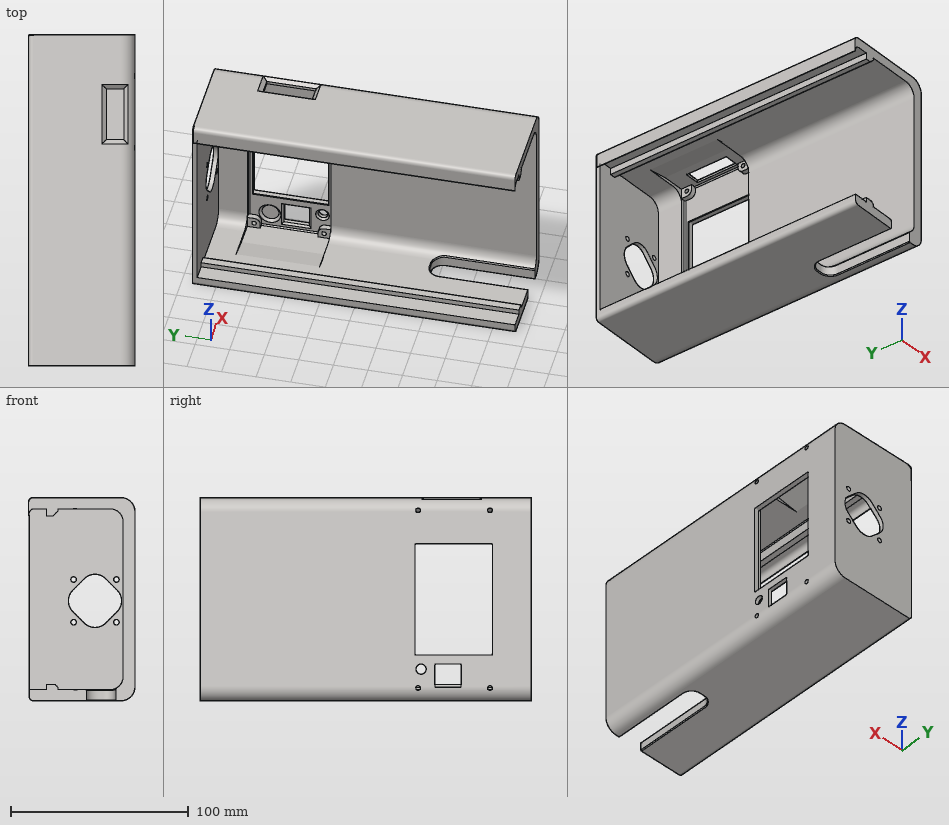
import cadquery as cq
WIDTH = 60.0
LENGTH = 186.6
HEIGHT = 114.5

BACK_WALL = 6.7
FLANGE = 6.3
OUTER_RADIUS = 8.0
INNER_RADIUS = 7.5
EDGE_RADIUS = 2.6
CAP_THICKNESS = 2.8

LIP_OVERHANG = 0.4
LIP_DROP = 10.0
LIP_RADIUS = 3.0
LIP_END_GAP = 0.5

RAIL_START = 10.0
RAIL_WIDTH = 6.5
RAIL_STEP = 1.3
TOP_RAIL_CHAMFER = 2.8
BOTTOM_RAIL_CHAMFER = 1.7

CONNECTOR_X = 37.5
CONNECTOR_Z = 56.4
CONNECTOR_SIDE = 26.1
CONNECTOR_CORNER_RADIUS = 8.5
CONNECTOR_HOLE_SPACING = 24.0
CONNECTOR_HOLE_DIAMETER = 3.0

PANEL_Y_MIN = 118.9
PANEL_Y_MAX = 167.2
PANEL_SKIN = 3.5
FLANGE_SKIN = 4.3
RAMP_START = 25.2
RAMP_END = 38.8
PANEL_CHAMFER = 0.7

BOSS_INSET = 4.0
BOSS_RADIUS = 3.5
BOSS_Z = 7.3
BOSS_HEIGHT = 3.4
BOSS_HOLE_DIAMETER = 2.6

WINDOW_Y_MIN = 121.1
WINDOW_Y_MAX = 164.6
WINDOW_Z_MIN = 26.0
WINDOW_Z_MAX = 88.5
WINDOW_CHAMFER = 0.4
PORT_Y_MIN = 132.3
PORT_Y_MAX = 147.0
PORT_Z_MIN = 7.8
PORT_Z_MAX = 20.7
PORT_CHAMFER = 1.1
OPENING_CORNER_RADIUS = 0.5
JACK_Y = 124.5
JACK_Z = 18.0
JACK_RADIUS = 2.8
JACK_CHAMFER = 1.1
DIMPLE_Y = 154.9
DIMPLE_Z = 13.3
DIMPLE_RADIUS = 6.3
DIMPLE_DEPTH = 1.5

SLOT_X_MIN = 43.9
SLOT_X_MAX = 53.7
SLOT_Y_MIN = 127.5
SLOT_Y_MAX = 156.0
SLOT_CHAMFER = 2.5

NOTCH_X = 41.0
NOTCH_WIDTH = 16.5
NOTCH_LENGTH = 58.2
NOTCH_RADIUS = 6.7
NOTCH_CHAMFER = 0.5

INNER_X = WIDTH - BACK_WALL
PANEL_X = WIDTH - PANEL_SKIN
OVERCUT = 1.9


def box(x_min, x_max, y_min, y_max, z_min, z_max):
    size = (x_max - x_min, y_max - y_min, z_max - z_min)
    return cq.Workplane("XY").box(*size, centered=False).translate((x_min, y_min, z_min))


def prism_y(points, y_min, y_max):
    """Closed XZ polygon swept along Y."""
    plane = cq.Plane((0, y_min, 0), (1, 0, 0), (0, -1, 0))
    return cq.Workplane(plane).polyline(points).close().extrude(y_min - y_max)


def panel_plane(y, z):
    """Plane on the panel face, its normal pointing out through the back wall."""
    return cq.Workplane(cq.Plane((PANEL_X, y, z), (0, 1, 0), (1, 0, 0)))


def panel_cone(y, z, radius, depth):
    """45 degree cone frustum sinking from the panel face into the wall."""
    return panel_plane(y, z).circle(radius).extrude(depth, taper=45)


def flip(body):
    """Mirror a body from the bottom flange to the top flange."""
    return body.mirror("XY", (0, 0, HEIGHT / 2))


def make_block(x_min, y_max):
    """Solid outer form of the channel with rounded long edges."""
    block = box(x_min, WIDTH, 0, y_max, 0, HEIGHT)
    block = block.edges("|Y and >X").fillet(OUTER_RADIUS)
    return block.faces("<X").edges("|Y").fillet(EDGE_RADIUS)


def make_shell():
    inside = LENGTH - CAP_THICKNESS
    lip_bottom = HEIGHT - LIP_DROP
    lip_zone = box(0, WIDTH, 0, LENGTH, lip_bottom, HEIGHT)
    lip = make_block(0, LENGTH - LIP_END_GAP).intersect(lip_zone)
    block = make_block(LIP_OVERHANG, LENGTH).union(lip)

    cavity = box(LIP_OVERHANG, INNER_X, -OVERCUT, inside, FLANGE, HEIGHT - FLANGE)
    cavity = cavity.edges("|Y and >X").fillet(INNER_RADIUS)
    cavity = cavity.edges("|Y and <X and >Z").fillet(LIP_RADIUS)
    return block.cut(cavity)


def make_rail(chamfer):
    """Rail standing on the bottom flange, chamfered on its +X side."""
    end = RAIL_START + RAIL_WIDTH
    root = FLANGE / 2
    top = FLANGE + RAIL_STEP + chamfer
    points = [
        (RAIL_START, root),
        (RAIL_START, top),
        (end - chamfer, top),
        (end, FLANGE + RAIL_STEP),
        (end, root),
    ]
    return prism_y(points, 0, LENGTH - CAP_THICKNESS / 2)


def make_connector_cutout():
    depth = CAP_THICKNESS + OVERCUT
    face = cq.Workplane(cq.Plane((CONNECTOR_X, LENGTH, CONNECTOR_Z), (1, 0, 0), (0, -1, 0)))
    opening = face.transformed(rotate=(0, 0, 45)).rect(CONNECTOR_SIDE, CONNECTOR_SIDE).extrude(depth)
    opening = opening.edges("|Y").fillet(CONNECTOR_CORNER_RADIUS)
    corners = face.rect(CONNECTOR_HOLE_SPACING, CONNECTOR_HOLE_SPACING, forConstruction=True).vertices()
    return opening.union(corners.circle(CONNECTOR_HOLE_DIAMETER / 2).extrude(depth))


def make_recess():
    slope = (FLANGE - FLANGE_SKIN) / (RAMP_END - RAMP_START)
    mouth_x = RAIL_START + RAIL_WIDTH
    mouth_z = FLANGE + slope * (RAMP_START - mouth_x)
    lower = [(mouth_x, mouth_z), (RAMP_END, FLANGE_SKIN), (PANEL_X, FLANGE_SKIN)]
    upper = [(x, HEIGHT - z) for x, z in reversed(lower)]
    recess = prism_y(lower + upper, PANEL_Y_MIN, PANEL_Y_MAX)
    return recess.faces(">X").edges().chamfer(PANEL_CHAMFER)


def make_boss(y_wall, direction):
    """Block in a lower recess corner with one rounded corner; direction points away from the wall."""
    root = 0.5
    y_far = y_wall + direction * (BOSS_INSET + BOSS_RADIUS)
    y_root = y_wall - direction * root
    x_face = PANEL_X - BOSS_HEIGHT
    boss = box(
        x_face, PANEL_X + root,
        min(y_far, y_root), max(y_far, y_root),
        FLANGE_SKIN - root, BOSS_Z + BOSS_RADIUS,
    )
    rounded_side = ">Y" if direction > 0 else "<Y"
    return boss.faces(rounded_side).edges(">Z").fillet(BOSS_RADIUS)


def make_boss_hole(y):
    return panel_plane(y, BOSS_Z).circle(BOSS_HOLE_DIAMETER / 2).extrude(2 * PANEL_SKIN, both=True)


def make_opening(y_min, y_max, z_min, z_max, chamfer):
    """Rectangular through opening with rounded corners and a chamfered inner rim."""
    width = y_max - y_min
    height = z_max - z_min
    face = panel_plane((y_min + y_max) / 2, (z_min + z_max) / 2)
    opening = face.rect(width, height).extrude(PANEL_SKIN + OVERCUT)
    opening = opening.edges("|X").fillet(OPENING_CORNER_RADIUS)
    rim = face.rect(width + 2 * chamfer, height + 2 * chamfer).extrude(chamfer, taper=45)
    return opening.union(rim)


def edges_in_box(x_min, x_max, y_min, y_max, z_min, z_max):
    """Selector for the edges whose centers lie in a box, widened a little on every side."""
    margin = 0.2
    low = (x_min - margin, y_min - margin, z_min - margin)
    high = (x_max + margin, y_max + margin, z_max + margin)
    return cq.selectors.BoxSelector(low, high)


def cut_top_slot(body):
    outline = (SLOT_X_MIN, SLOT_X_MAX, SLOT_Y_MIN, SLOT_Y_MAX)
    body = body.cut(box(*outline, HEIGHT / 2, HEIGHT + OVERCUT))
    return body.edges(edges_in_box(*outline, HEIGHT, HEIGHT)).chamfer(SLOT_CHAMFER)


def cut_notch(body):
    outline = (NOTCH_X - NOTCH_WIDTH / 2, NOTCH_X + NOTCH_WIDTH / 2, 0, NOTCH_LENGTH)
    z_top = FLANGE + INNER_RADIUS
    notch = box(*outline, 0, z_top).edges("|Z and >Y").fillet(NOTCH_RADIUS)
    body = body.cut(notch)
    return body.edges(edges_in_box(*outline, 0, z_top)).edges("not |Z").chamfer(NOTCH_CHAMFER)


result = make_shell()
result = result.union(make_rail(BOTTOM_RAIL_CHAMFER))
result = result.union(flip(make_rail(TOP_RAIL_CHAMFER)))

result = cut_notch(result)
result = cut_top_slot(result)
result = result.cut(make_connector_cutout())

result = result.cut(make_recess())
for y_wall, direction in ((PANEL_Y_MIN, 1), (PANEL_Y_MAX, -1)):
    boss = make_boss(y_wall, direction)
    hole = make_boss_hole(y_wall + direction * BOSS_INSET)
    result = result.union(boss).union(flip(boss))
    result = result.cut(hole).cut(flip(hole))

result = result.cut(make_opening(WINDOW_Y_MIN, WINDOW_Y_MAX, WINDOW_Z_MIN, WINDOW_Z_MAX, WINDOW_CHAMFER))
result = result.cut(make_opening(PORT_Y_MIN, PORT_Y_MAX, PORT_Z_MIN, PORT_Z_MAX, PORT_CHAMFER))
result = result.cut(panel_plane(JACK_Y, JACK_Z).circle(JACK_RADIUS).extrude(PANEL_SKIN))
result = result.cut(panel_cone(JACK_Y, JACK_Z, JACK_RADIUS + JACK_CHAMFER, JACK_CHAMFER))
result = result.cut(panel_cone(DIMPLE_Y, DIMPLE_Z, DIMPLE_RADIUS, DIMPLE_DEPTH))